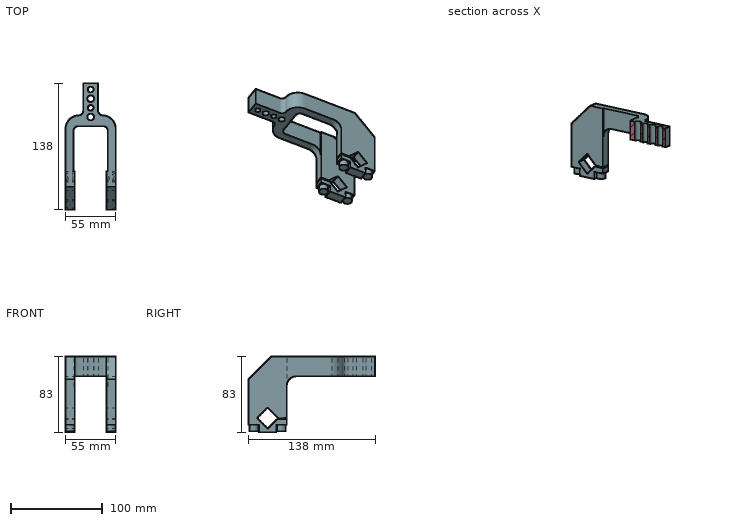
import cadquery as cq

width = 55.0
length = 138.0
height = 83.0

bar_thickness = 22.0
stem_width = 16.3
shoulder_y = 103.0
shoulder_radius = 15.0
stem_fillet = 5.0
crossbar_depth = 12.0
fork_gap = 37.0
inner_fillet = 5.0

leg_thickness = 10.4
leg_depth = 42.1
leg_chamfer = 25.0
leg_fillet = 10.0

hole_diameters = (6.0, 7.0, 6.0, 7.0)
hole_span = 30.0
first_hole_inset = 7.0

square_side = 16.0
clamp_z = 15.7
slit_height = 1.2
notch_depth = 11.5
notch_height = 8.3
screw_inset = 6.1
screw_diameter = 6.0
head_diameter = 10.0
head_height = 7.0
thread_engagement = 1.4

hole_pitch = hole_span / (len(hole_diameters) - 1)
clamp_y = leg_depth / 2
leg_center_x = (width - leg_thickness) / 2
bar_bottom_z = height - bar_thickness


def box(x_size, y_range, z_range):
    """Box centred on X = 0 between the given Y and Z limits."""
    y_min, y_max = y_range
    z_min, z_max = z_range
    return (
        cq.Workplane("XY")
        .box(x_size, y_max - y_min, z_max - z_min, centered=(True, False, False))
        .translate((0, y_min, z_min))
    )


def make_fork():
    """Flat two-pronged fork with a drilled stem."""
    bar_z = (bar_bottom_z, height)
    yoke = box(width, (0, shoulder_y), bar_z).edges("|Z and >Y").fillet(shoulder_radius)
    stem = box(stem_width, (shoulder_y - crossbar_depth, length), bar_z)
    inner_corners = cq.selectors.BoxSelector(
        (-stem_width, shoulder_y - 1.4, 0), (stem_width, shoulder_y + 1.4, height)
    )
    fork = yoke.union(stem).edges("|Z").edges(inner_corners).fillet(stem_fillet)
    gap = box(fork_gap, (0, shoulder_y - crossbar_depth), bar_z).edges("|Z and >Y").fillet(inner_fillet)
    fork = fork.cut(gap)
    for index, diameter in enumerate(hole_diameters):
        hole_y = length - first_hole_inset - index * hole_pitch
        hole = cq.Workplane("XY").center(0, hole_y).circle(diameter / 2).extrude(height)
        fork = fork.cut(hole)
    return fork


def make_leg_fillets():
    """Concave corners joining the bar to the legs, no thicker than the bar's side walls."""
    corner = (
        cq.Workplane("YZ")
        .moveTo(leg_depth, bar_bottom_z)
        .lineTo(leg_depth, bar_bottom_z - leg_fillet)
        .radiusArc((leg_depth + leg_fillet, bar_bottom_z), leg_fillet)
        .close()
        .extrude(width / 2, both=True)
    )
    gap = box(fork_gap, (0, shoulder_y), (0, height))
    return corner.cut(gap)


def make_leg():
    """Clamp leg centred on X = 0, with both of its screws."""
    leg = box(leg_thickness, (0, leg_depth), (0, height))
    square = (
        cq.Workplane("XY")
        .box(leg_thickness, square_side, square_side)
        .rotate((0, 0, 0), (1, 0, 0), 45)
        .translate((0, clamp_y, clamp_z))
    )
    slit = box(leg_thickness, (clamp_y, leg_depth), (clamp_z - slit_height, clamp_z))
    front_notch = box(leg_thickness, (0, notch_depth), (0, notch_height))
    rear_notch = box(leg_thickness, (leg_depth - notch_depth, leg_depth), (0, notch_height))
    leg = leg.cut(square).cut(slit).cut(front_notch).cut(rear_notch)
    for screw_y in (screw_inset, leg_depth - screw_inset):
        leg = leg.union(make_screw(screw_y))
    return leg


def make_screw(y):
    """Screw head under the notch, with a shank reaching past the slit."""
    base = cq.Workplane("XY", origin=(0, y, notch_height))
    head = base.circle(head_diameter / 2).extrude(-head_height)
    shank = base.circle(screw_diameter / 2).extrude(clamp_z + thread_engagement - notch_height)
    return head.union(shank)


def make_front_chamfer():
    """Wedge that bevels the upper front edge of both legs."""
    return (
        cq.Workplane("YZ")
        .polyline([(0, height), (leg_chamfer, height), (0, height - leg_chamfer)])
        .close()
        .extrude(width / 2, both=True)
    )


result = make_fork()
for side in (-1, 1):
    result = result.union(make_leg().translate((side * leg_center_x, 0, 0)))
result = result.union(make_leg_fillets())
result = result.cut(make_front_chamfer())